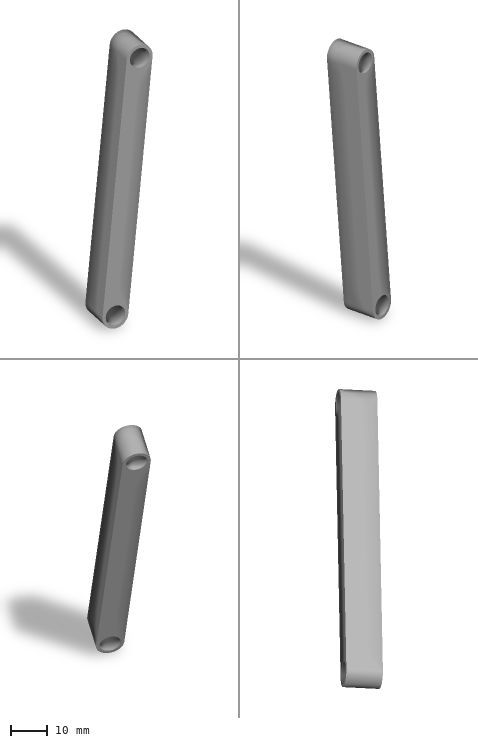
import cadquery as cq
import math

width = 10.2
depth = 15.4
height = 85.6

end_diameter = 8.0
hole_diameter = 6.0

lean = depth - end_diameter
rise = height - end_diameter
hole_spacing = math.hypot(lean, rise)
lean_angle = math.degrees(math.atan2(lean, rise))

body = (
    cq.Workplane("YZ")
    .slot2D(hole_spacing + end_diameter, end_diameter, 90)
    .extrude(width / 2, both=True)
)

holes = (
    cq.Workplane("YZ")
    .pushPoints([(0, -hole_spacing / 2), (0, hole_spacing / 2)])
    .circle(hole_diameter / 2)
    .extrude(width / 2, both=True)
)

result = body.cut(holes).rotate((0, 0, 0), (1, 0, 0), -lean_angle)